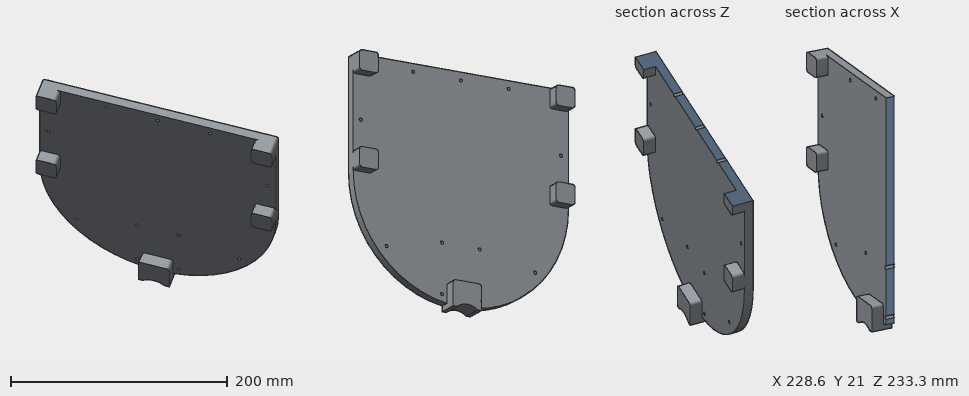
import cadquery as cq

plate_radius = 114.3
plate_thickness = 9.0
plate_top = plate_radius
corner_radius = 3.0

total_depth = 21.0
foot_size = 20.0
foot_corner_radius = 3.0
side_foot_x = plate_radius - foot_size / 2
side_foot_heights = (plate_top - foot_size / 2, foot_size / 2)

bottom_foot_width = 30.0
bottom_foot_base = -119.0
bottom_foot_top = -93.3
notch_width = 21.2
notch_depth = 3.8

hole_diameter = 3.0
edge_inset = 8.1
top_hole_pitch = 50.6
side_hole_z = 50.5
arc_hole_x = 78.8
arc_hole_z = -68.0
inner_hole_x = 20.0
inner_hole_heights = (-55.0, -105.0)


def front_plane():
    """Sketch plane with X right and Z up; extruding goes toward -Y."""
    return cq.Workplane("XZ")


def make_plate():
    plate = (
        front_plane()
        .moveTo(-plate_radius, 0)
        .lineTo(-plate_radius, plate_top)
        .lineTo(plate_radius, plate_top)
        .lineTo(plate_radius, 0)
        .threePointArc((0, -plate_radius), (-plate_radius, 0))
        .close()
        .extrude(plate_thickness)
    )
    return plate.edges("|Y and >Z").fillet(corner_radius)


def make_side_foot(x, z, depth_start):
    """Square foot with four rounded corners, from depth_start to the full depth."""
    return (
        front_plane()
        .workplane(offset=depth_start)
        .center(x, z)
        .rect(foot_size, foot_size)
        .extrude(total_depth - depth_start)
        .edges("|Y")
        .fillet(foot_corner_radius)
    )


def make_bottom_foot():
    """Full-depth foot that reaches below the plate, with rounded upper corners."""
    half_width = bottom_foot_width / 2
    half_notch = notch_width / 2
    foot = (
        front_plane()
        .moveTo(-half_width, bottom_foot_base)
        .lineTo(-half_width, bottom_foot_top)
        .lineTo(half_width, bottom_foot_top)
        .lineTo(half_width, bottom_foot_base)
        .lineTo(half_notch, bottom_foot_base)
        .threePointArc((0, bottom_foot_base + notch_depth), (-half_notch, bottom_foot_base))
        .close()
        .extrude(total_depth)
    )
    return foot.edges("|Y and >Z").fillet(foot_corner_radius)


def hole_positions():
    top_z = plate_top - edge_inset
    side_x = plate_radius - edge_inset
    points = [(0, top_z)]
    for side in (-1, 1):
        points.append((side * top_hole_pitch, top_z))
        points.append((side * side_x, side_hole_z))
        points.append((side * arc_hole_x, arc_hole_z))
        for z in inner_hole_heights:
            points.append((side * inner_hole_x, z))
    return points


def make_holes():
    return (
        front_plane()
        .pushPoints(hole_positions())
        .circle(hole_diameter / 2)
        .extrude(plate_thickness)
    )


result = make_plate()
for foot_z in side_foot_heights:
    for side in (-1, 1):
        result = result.union(make_side_foot(side * side_foot_x, foot_z, plate_thickness))
result = result.union(make_bottom_foot())
result = result.cut(make_holes())